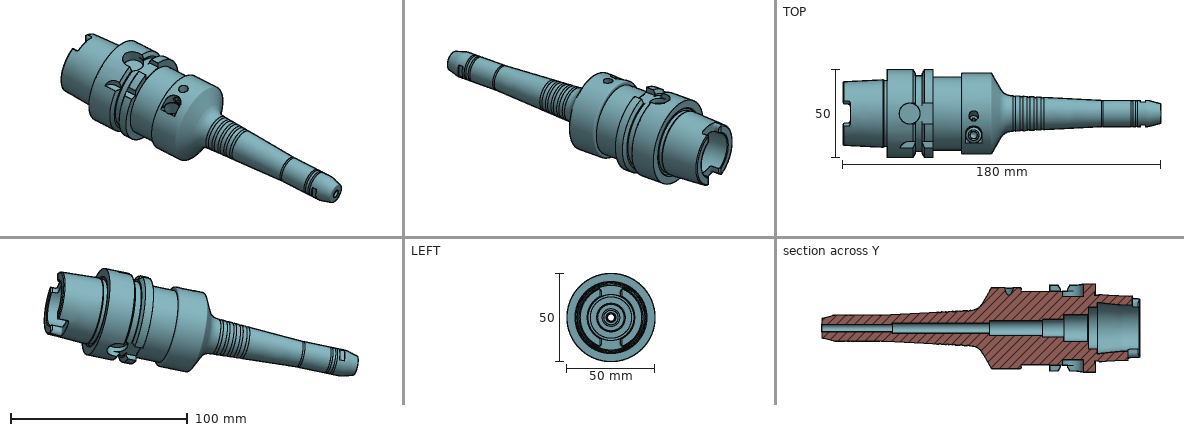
import cadquery as cq
import math


SHANK_LENGTH = 25.0
SHANK_GAUGE_DIAMETER = 38.0
GAUGE_LINE_X = -5.0
TAPER_RATIO = 10.0
SHANK_END_CHAMFER = 0.6
RELIEF_START_X = -2.2
RELIEF_RADIUS = 18.7
RELIEF_RUNOUT = 0.6
RELIEF_FACE_DEPTH = 0.6
RELIEF_FACE_RADIUS = 20.4

FLANGE_RADIUS = 25.0
FLANGE_LENGTH = 26.0
GROOVE_RADIUS = 21.5
GROOVE_WALL_RADIUS = 22.6
GROOVE_CENTER_X = 17.95
GROOVE_WIDTH = 3.75
FLANK_ANGLE = 60.0

BODY_RADIUS = 20.8
COLLAR_RADIUS = 23.0
COLLAR_START_X = 42.0
COLLAR_END_X = 59.0
COLLAR_FILLET = 1.0
SHOULDER_ANGLE = 60.0
NECK_FILLET = 7.0

TOTAL_END_X = 155.0
NOSE_RADIUS = 7.5
NOSE_START_X = 121.1
NECK_TAPER_ANGLE = 3.0
TIP_TAPER_START_X = 147.7
TIP_TAPER_ANGLE = 15.0
TIP_BLEND_RADIUS = 4.0
TIP_FACE_X = 154.8
TIP_CHAMFER = 0.5
TIP_LIP_RADIUS = 2.25

NECK_RING_COUNT = 5
NECK_RING_FIRST_X = 72.0
NECK_RING_PITCH = 4.0
NECK_RING_WIDTH = 1.6
NECK_RING_DEPTH = 0.4
NOSE_RING_CENTERS_X = (121.7, 138.45, 141.2)
NOSE_RING_WIDTH = 1.1
NOSE_RING_DEPTH = 0.15

FLATS_ACROSS = 13.2
FLATS_START_X = 143.2
FLATS_LENGTH = 2.9

MOUTH_RADIUS = 13.0
MOUTH_CHAMFER = 0.5
MOUTH_LENGTH = 9.9
CAVITY_FLOOR_RADIUS = 14.5
CAVITY_FLOOR_X = -1.0
INNER_BORES = (
    (11.7, 0.0, 4.0),
    (7.5, 0.6, 18.0),
    (5.0, 0.0, 30.0),
    (4.1, 0.0, 60.0),
    (2.75, 0.0, 115.0),
)
TOOL_BORE_RADIUS = 2.0

DRIVE_SLOT_WIDTH = 10.54
UPPER_SLOT_DEPTH = 4.2
LOWER_SLOT_DEPTH = 6.7
SLOT_FLOOR_FILLET = 1.2
SLOT_MOUTH_CHAMFER = 1.0
SLOT_FLARE_START_Z = 13.9
SLOT_FLARE_RADIUS = 3.0

KEYWAY_WIDTH = 11.8
KEYWAY_CENTER_X = 12.8
KEYWAY_FLOOR_Z = 21.0
KEYWAY_END_FLOOR_Z = 18.0
NOTCH_FLOOR_Z = 15.7
NOTCH_SIDE_Y = -15.7

SCREW_X = 49.0
SCREW_Y = -12.2
POCKET_RADIUS = 4.75
POCKET_BACK_Y = -7.1
POCKET_FLOOR_Z = 16.0
SCREW_HOLE_RADIUS = 4.5
SCREW_HOLE_FLOOR_Z = 7.5
SCREW_TOP_RADIUS = 3.0
SCREW_TOP_RISE = 1.2
HEX_ACROSS_CORNERS = 4.62
HEX_DEPTH = 1.5
HEX_POINT_RADIUS = 2.0
HEX_POINT_DEPTH = 1.2
SIDE_HOLE_RADIUS = 2.25
SIDE_HOLE_Z = 18.4
SIDE_HOLE_DEPTH = 0.6
BLEED_HOLE_RADIUS = 2.6
BLEED_HOLE_Y = -1.2
BLEED_HOLE_TILT = 20.0
BLEED_HOLE_DEPTH = 7.0
BLEED_HEX_ACROSS_CORNERS = 2.31
BLEED_HEX_DEPTH = 1.5


def tan_deg(angle):
    return math.tan(math.radians(angle))


def taper_radius(x):
    """Radius of the shank taper at position x."""
    return (SHANK_GAUGE_DIAMETER + (x - GAUGE_LINE_X) / TAPER_RATIO) / 2


def neck_radius(x):
    """Radius of the slightly tapered neck at position x."""
    return NOSE_RADIUS + (NOSE_START_X - x) * tan_deg(NECK_TAPER_ANGLE)


def revolve_x(profile):
    return profile.close().revolve(360, (0, 0, 0), (1, 0, 0))


def shank_and_flange():
    chamfer_end_x = SHANK_END_CHAMFER - SHANK_LENGTH
    groove_left = GROOVE_CENTER_X - GROOVE_WIDTH / 2
    groove_right = GROOVE_CENTER_X + GROOVE_WIDTH / 2
    flank_run = (FLANGE_RADIUS - GROOVE_WALL_RADIUS) / tan_deg(FLANK_ANGLE)
    return revolve_x(
        cq.Workplane("XY")
        .moveTo(-SHANK_LENGTH, 0)
        .lineTo(-SHANK_LENGTH, taper_radius(-SHANK_LENGTH) - SHANK_END_CHAMFER)
        .lineTo(chamfer_end_x, taper_radius(chamfer_end_x))
        .lineTo(RELIEF_START_X, taper_radius(RELIEF_START_X))
        .lineTo(RELIEF_START_X + RELIEF_RUNOUT, RELIEF_RADIUS)
        .lineTo(RELIEF_FACE_DEPTH, RELIEF_RADIUS)
        .lineTo(RELIEF_FACE_DEPTH, RELIEF_FACE_RADIUS - RELIEF_FACE_DEPTH)
        .lineTo(0, RELIEF_FACE_RADIUS)
        .lineTo(0, FLANGE_RADIUS)
        .lineTo(groove_left - flank_run, FLANGE_RADIUS)
        .lineTo(groove_left, GROOVE_WALL_RADIUS)
        .lineTo(groove_left, GROOVE_RADIUS)
        .lineTo(groove_right, GROOVE_RADIUS)
        .lineTo(groove_right, GROOVE_WALL_RADIUS)
        .lineTo(groove_right + flank_run, FLANGE_RADIUS)
        .lineTo(FLANGE_LENGTH, FLANGE_RADIUS)
        .lineTo(FLANGE_LENGTH, 0)
    )


def fillet_circles(solid, x, radius, fillet):
    """Fillet the circular edge that lies at position x with the given radius."""
    margin = 0.01
    corner = cq.selectors.BoxSelector(
        (x - margin, -radius - margin, -radius - margin),
        (x + margin, radius + margin, radius + margin),
        boundingbox=True,
    )
    largest = cq.selectors.RadiusNthSelector(-1)
    return solid.edges("%CIRCLE").edges(corner).edges(largest).fillet(fillet)


def body_and_nose():
    """Body, collar, shoulder, neck and nose, filleted where they meet."""
    slope_difference = tan_deg(SHOULDER_ANGLE) - tan_deg(NECK_TAPER_ANGLE)
    shoulder_run = (COLLAR_RADIUS - neck_radius(COLLAR_END_X)) / slope_difference
    neck_start_x = COLLAR_END_X + shoulder_run
    tip_radius = NOSE_RADIUS - (TIP_FACE_X - TIP_TAPER_START_X) * tan_deg(TIP_TAPER_ANGLE)
    solid = revolve_x(
        cq.Workplane("XY")
        .moveTo(FLANGE_LENGTH, 0)
        .lineTo(FLANGE_LENGTH, BODY_RADIUS)
        .lineTo(COLLAR_START_X, BODY_RADIUS)
        .lineTo(COLLAR_START_X, COLLAR_RADIUS)
        .lineTo(COLLAR_END_X, COLLAR_RADIUS)
        .lineTo(neck_start_x, neck_radius(neck_start_x))
        .lineTo(NOSE_START_X, NOSE_RADIUS)
        .lineTo(TIP_TAPER_START_X, NOSE_RADIUS)
        .lineTo(TIP_FACE_X, tip_radius)
        .lineTo(TIP_FACE_X, TIP_LIP_RADIUS)
        .lineTo(TOTAL_END_X, TIP_LIP_RADIUS)
        .lineTo(TOTAL_END_X, 0)
    )
    for x, radius, fillet in (
        (COLLAR_START_X, COLLAR_RADIUS, COLLAR_FILLET),
        (COLLAR_END_X, COLLAR_RADIUS, COLLAR_FILLET),
        (neck_start_x, neck_radius(neck_start_x), NECK_FILLET),
        (TIP_TAPER_START_X, NOSE_RADIUS, TIP_BLEND_RADIUS),
        (TIP_FACE_X, tip_radius, TIP_CHAMFER),
    ):
        solid = fillet_circles(solid, x, radius, fillet)
    return solid


def ring_cutter(center_x, surface_radius, width, depth):
    """Ring whose cross-section is a circle that cuts an arc of the given width and depth."""
    arc_radius = (width**2 / 4 + depth**2) / (2 * depth)
    center_radius = surface_radius - depth + arc_radius
    return (
        cq.Workplane("XY")
        .center(center_x, center_radius)
        .circle(arc_radius)
        .revolve(360, (0, -center_radius, 0), (1, -center_radius, 0))
    )


def cut_rings(solid):
    for index in range(NECK_RING_COUNT):
        x = NECK_RING_FIRST_X + index * NECK_RING_PITCH
        solid = solid.cut(ring_cutter(x, neck_radius(x), NECK_RING_WIDTH, NECK_RING_DEPTH))
    for x in NOSE_RING_CENTERS_X:
        solid = solid.cut(ring_cutter(x, NOSE_RADIUS, NOSE_RING_WIDTH, NOSE_RING_DEPTH))
    return solid


def cut_flats(solid):
    """Two short flats across the nose, facing +Y and -Y."""
    flat_depth = NOSE_RADIUS - FLATS_ACROSS / 2
    for side in (-1, 1):
        flat_center = (FLATS_START_X + FLATS_LENGTH / 2, side * (FLATS_ACROSS / 2 + flat_depth), 0)
        flat = cq.Workplane("XY").box(FLATS_LENGTH, 2 * flat_depth, 2 * NOSE_RADIUS).translate(flat_center)
        solid = solid.cut(flat)
    return solid


def axial_bores():
    """Clamping cavity, stepped bores and tool bore as one turned cutter."""
    mouth_end_x = MOUTH_LENGTH - SHANK_LENGTH
    profile = (
        cq.Workplane("XY")
        .moveTo(-SHANK_LENGTH, 0)
        .lineTo(-SHANK_LENGTH, MOUTH_RADIUS + MOUTH_CHAMFER)
        .lineTo(-SHANK_LENGTH + MOUTH_CHAMFER, MOUTH_RADIUS)
        .lineTo(mouth_end_x, MOUTH_RADIUS)
        .lineTo(CAVITY_FLOOR_X, CAVITY_FLOOR_RADIUS)
    )
    start_x = CAVITY_FLOOR_X
    for radius, chamfer, floor_x in INNER_BORES:
        profile = profile.lineTo(start_x, radius + chamfer)
        if chamfer:
            profile = profile.lineTo(start_x + chamfer, radius)
        profile = profile.lineTo(floor_x, radius)
        start_x = floor_x
    profile = (
        profile
        .lineTo(start_x, TOOL_BORE_RADIUS)
        .lineTo(TOTAL_END_X, TOOL_BORE_RADIUS)
        .lineTo(TOTAL_END_X, 0)
    )
    return revolve_x(profile)


def drive_slot(depth):
    """Upper drive slot: flared towards the outside, rounded floor, chamfered mouth."""
    half = DRIVE_SLOT_WIDTH / 2
    flared = half + SLOT_FLARE_RADIUS
    flare_top = SLOT_FLARE_START_Z + SLOT_FLARE_RADIUS
    slot = (
        cq.Workplane("YZ", origin=(-SHANK_LENGTH, 0, 0))
        .moveTo(-half, 0)
        .lineTo(half, 0)
        .lineTo(half, SLOT_FLARE_START_Z)
        .radiusArc((flared, flare_top), SLOT_FLARE_RADIUS)
        .lineTo(flared, FLANGE_RADIUS)
        .lineTo(-flared, FLANGE_RADIUS)
        .lineTo(-flared, flare_top)
        .radiusArc((-half, SLOT_FLARE_START_Z), SLOT_FLARE_RADIUS)
        .close()
        .extrude(depth)
    )
    slot = slot.faces(">X").edges("not(<Z or >Z)").fillet(SLOT_FLOOR_FILLET)
    mouth = (
        cq.Workplane("XY")
        .moveTo(-SHANK_LENGTH, -half - SLOT_MOUTH_CHAMFER)
        .lineTo(-SHANK_LENGTH + SLOT_MOUTH_CHAMFER, -half)
        .lineTo(-SHANK_LENGTH + SLOT_MOUTH_CHAMFER, half)
        .lineTo(-SHANK_LENGTH, half + SLOT_MOUTH_CHAMFER)
        .close()
        .extrude(FLANGE_RADIUS)
    )
    return slot.union(mouth)


def cut_drive_slots(solid):
    lower = drive_slot(LOWER_SLOT_DEPTH).rotate((0, 0, 0), (1, 0, 0), 180)
    return solid.cut(drive_slot(UPPER_SLOT_DEPTH)).cut(lower)


def milled_slot(center_y, floor_z):
    """Round-ended slot open to +X across the flange and upwards from floor_z."""
    height = FLANGE_RADIUS - floor_z
    length = FLANGE_LENGTH - KEYWAY_CENTER_X
    end = cq.Workplane("XY", origin=(KEYWAY_CENTER_X, center_y, floor_z))
    straight = end.center(length / 2, 0).rect(length, KEYWAY_WIDTH).extrude(height)
    return end.circle(KEYWAY_WIDTH / 2).extrude(height).union(straight)


def cut_flange_slots(solid):
    keyway = milled_slot(0, KEYWAY_FLOOR_Z).union(
        cq.Workplane("XY", origin=(KEYWAY_CENTER_X, 0, KEYWAY_END_FLOOR_Z))
        .circle(KEYWAY_WIDTH / 2)
        .extrude(FLANGE_RADIUS - KEYWAY_END_FLOOR_Z)
    )
    return solid.cut(keyway).cut(keyway.rotate((0, 0, 0), (1, 0, 0), 180))


def orientation_notch():
    return milled_slot(NOTCH_SIDE_Y - KEYWAY_WIDTH / 2, NOTCH_FLOOR_Z)


def cone(bottom_radius, top_radius, height):
    """Upright cone that stands on the origin."""
    return cq.Workplane("XY").add(cq.Solid.makeCone(bottom_radius, top_radius, height))


def cut_screw_pocket(solid):
    """Pocket open to -Y, screw hole in its floor with the socket screw at the bottom."""
    pocket_y = POCKET_BACK_Y - POCKET_RADIUS
    height = COLLAR_RADIUS - POCKET_FLOOR_Z
    floor = cq.Workplane("XY", origin=(SCREW_X, pocket_y, POCKET_FLOOR_Z))
    pocket = floor.circle(POCKET_RADIUS).extrude(height).union(
        floor.center(0, -POCKET_RADIUS).rect(2 * POCKET_RADIUS, 2 * POCKET_RADIUS).extrude(height)
    )
    bottom = cq.Workplane("XY", origin=(SCREW_X, SCREW_Y, SCREW_HOLE_FLOOR_Z))
    hole = bottom.circle(SCREW_HOLE_RADIUS).extrude(COLLAR_RADIUS - SCREW_HOLE_FLOOR_Z)
    screw_top = cone(SCREW_HOLE_RADIUS, SCREW_TOP_RADIUS, SCREW_TOP_RISE).translate(
        (SCREW_X, SCREW_Y, SCREW_HOLE_FLOOR_Z)
    )
    socket_floor_z = SCREW_HOLE_FLOOR_Z + SCREW_TOP_RISE - HEX_DEPTH
    socket = (
        cq.Workplane("XY", origin=(SCREW_X, SCREW_Y, socket_floor_z))
        .polygon(6, HEX_ACROSS_CORNERS)
        .extrude(HEX_DEPTH)
    )
    point = cone(0, HEX_POINT_RADIUS, HEX_POINT_DEPTH).translate(
        (SCREW_X, SCREW_Y, socket_floor_z - HEX_POINT_DEPTH)
    )
    side_hole = (
        cq.Workplane("XZ", origin=(SCREW_X, pocket_y, SIDE_HOLE_Z))
        .circle(SIDE_HOLE_RADIUS)
        .extrude(-(POCKET_RADIUS + SIDE_HOLE_DEPTH))
    )
    return solid.cut(pocket).cut(hole.cut(screw_top)).cut(socket).cut(point).cut(side_hole)


def bleed_hole():
    """Hole that leans towards the screw hole as it goes down, closed by a sunk socket screw."""
    hole = cq.Workplane("XY").circle(BLEED_HOLE_RADIUS).extrude(BLEED_HOLE_DEPTH + BLEED_HOLE_RADIUS)
    socket = (
        cq.Workplane("XY", origin=(0, 0, -BLEED_HEX_DEPTH))
        .polygon(6, BLEED_HEX_ACROSS_CORNERS)
        .extrude(BLEED_HEX_DEPTH)
    )
    return (
        hole.union(socket)
        .translate((0, 0, -BLEED_HOLE_DEPTH))
        .rotate((0, 0, 0), (1, 0, 0), -BLEED_HOLE_TILT)
        .translate((SCREW_X, BLEED_HOLE_Y, COLLAR_RADIUS))
    )


result = shank_and_flange().union(body_and_nose())
result = cut_rings(result)
result = cut_flats(result)
result = result.cut(axial_bores())
result = cut_drive_slots(result)
result = cut_flange_slots(result)
result = result.cut(orientation_notch())
result = cut_screw_pocket(result)
result = result.cut(bleed_hole())